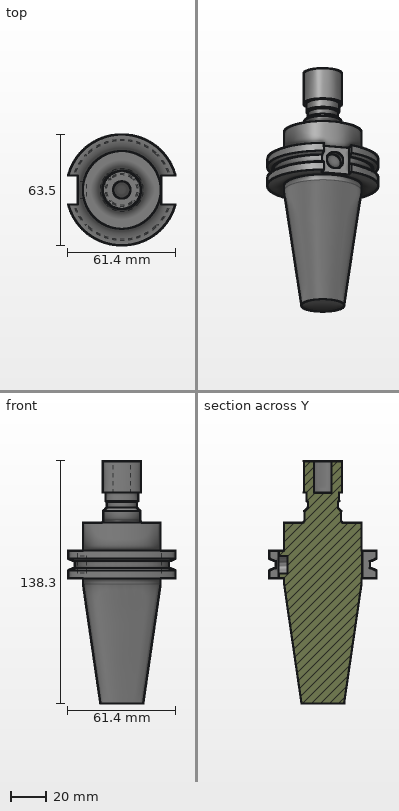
import cadquery as cq
import math

TAPER_LENGTH = 68.25
FLANGE_GAP = 3.175
FLANGE_THICKNESS = 15.875
BODY_TOP_Z = 35.0
NOSE_LENGTH = 35.1
CAP_LENGTH = 18.0
COLLAR_LENGTH = 4.6
SHOULDER_LENGTH = 6.65

GAUGE_RADIUS = 44.45 / 2
TAPER_RATIO = 7 / 24
FLANGE_RADIUS = 63.5 / 2
GROOVE_RADIUS = 56.36 / 2
CAP_RADIUS = 22.0 / 2
COLLAR_RADIUS = 18.8 / 2
NECK_RADIUS = 17.4 / 2
SHOULDER_RADIUS = 21.2 / 2
NOSE_FILLET = 1.4

GROOVE_MOUTH_WIDTH = 6.7
GROOVE_CHANNEL_WIDTH = 4.0
FLANK_ANGLE = 25

SLOT_WIDTH = 16.38
SLOT_FACE_NEG_X = 25.25
SLOT_FACE_POS_X = 22.6
SIDE_HOLE_DIAMETER = 9.7
SIDE_HOLE_DEPTH = 5.0
BORE_DIAMETER = 9.9
BORE_DEPTH = 18.0

SMALL_END_RADIUS = GAUGE_RADIUS - TAPER_LENGTH * TAPER_RATIO / 2
FLANGE_BOTTOM_Z = FLANGE_GAP
FLANGE_TOP_Z = FLANGE_BOTTOM_Z + FLANGE_THICKNESS
FLANGE_MID_Z = (FLANGE_BOTTOM_Z + FLANGE_TOP_Z) / 2
NOSE_TOP_Z = BODY_TOP_Z + NOSE_LENGTH
FLANK_DEPTH = (GROOVE_MOUTH_WIDTH - GROOVE_CHANNEL_WIDTH) / 2 / math.tan(math.radians(FLANK_ANGLE))
CHANNEL_RADIUS = FLANGE_RADIUS - FLANK_DEPTH
CAP_BOTTOM_Z = NOSE_TOP_Z - CAP_LENGTH
COLLAR_BOTTOM_Z = CAP_BOTTOM_Z - COLLAR_LENGTH
SHOULDER_TOP_Z = BODY_TOP_Z + SHOULDER_LENGTH


def revolved_holder():
    """Taper shank, grooved flange, body and stepped nose as one revolved half-profile."""
    collar_bevel = COLLAR_RADIUS - NECK_RADIUS
    shoulder_bevel = SHOULDER_RADIUS - NECK_RADIUS
    profile = (
        cq.Workplane("XZ")
        .moveTo(0, -TAPER_LENGTH)
        .lineTo(SMALL_END_RADIUS, -TAPER_LENGTH)
        .lineTo(GAUGE_RADIUS, 0)
        .lineTo(GAUGE_RADIUS, FLANGE_BOTTOM_Z)
        .lineTo(FLANGE_RADIUS, FLANGE_BOTTOM_Z)
        .lineTo(FLANGE_RADIUS, FLANGE_MID_Z - GROOVE_MOUTH_WIDTH / 2)
        .lineTo(CHANNEL_RADIUS, FLANGE_MID_Z - GROOVE_CHANNEL_WIDTH / 2)
        .lineTo(GROOVE_RADIUS, FLANGE_MID_Z - GROOVE_CHANNEL_WIDTH / 2)
        .lineTo(GROOVE_RADIUS, FLANGE_MID_Z + GROOVE_CHANNEL_WIDTH / 2)
        .lineTo(CHANNEL_RADIUS, FLANGE_MID_Z + GROOVE_CHANNEL_WIDTH / 2)
        .lineTo(FLANGE_RADIUS, FLANGE_MID_Z + GROOVE_MOUTH_WIDTH / 2)
        .lineTo(FLANGE_RADIUS, FLANGE_TOP_Z)
        .lineTo(GAUGE_RADIUS, FLANGE_TOP_Z)
        .lineTo(GAUGE_RADIUS, BODY_TOP_Z)
        .lineTo(SHOULDER_RADIUS + NOSE_FILLET, BODY_TOP_Z)
        .radiusArc((SHOULDER_RADIUS, BODY_TOP_Z + NOSE_FILLET), NOSE_FILLET)
        .lineTo(SHOULDER_RADIUS, SHOULDER_TOP_Z)
        .lineTo(NECK_RADIUS, SHOULDER_TOP_Z + shoulder_bevel)
        .lineTo(NECK_RADIUS, COLLAR_BOTTOM_Z - collar_bevel)
        .lineTo(COLLAR_RADIUS, COLLAR_BOTTOM_Z)
        .lineTo(COLLAR_RADIUS, CAP_BOTTOM_Z)
        .lineTo(CAP_RADIUS, CAP_BOTTOM_Z)
        .lineTo(CAP_RADIUS, NOSE_TOP_Z)
        .lineTo(0, NOSE_TOP_Z)
        .close()
    )
    return profile.revolve(360, (0, 0, 0), (0, 1, 0))


def drive_slot(side, face_distance):
    """Cutter for a slot through the flange, from its floor outwards; side is -1 or +1 along X."""
    return (
        cq.Workplane("XY", origin=(side * (face_distance + FLANGE_RADIUS / 2), 0, FLANGE_MID_Z))
        .box(FLANGE_RADIUS, SLOT_WIDTH, FLANGE_THICKNESS)
    )


def side_hole():
    """Cutter for the blind hole in the floor of the -X slot."""
    return (
        cq.Workplane("YZ", origin=(-SLOT_FACE_NEG_X, 0, FLANGE_MID_Z))
        .circle(SIDE_HOLE_DIAMETER / 2)
        .extrude(SIDE_HOLE_DEPTH)
    )


def nose_bore():
    """Cutter for the blind bore in the top of the nose."""
    return (
        cq.Workplane("XY", origin=(0, 0, NOSE_TOP_Z))
        .circle(BORE_DIAMETER / 2)
        .extrude(-BORE_DEPTH)
    )


result = (
    revolved_holder()
    .cut(drive_slot(-1, SLOT_FACE_NEG_X))
    .cut(drive_slot(1, SLOT_FACE_POS_X))
    .cut(side_hole())
    .cut(nose_bore())
)